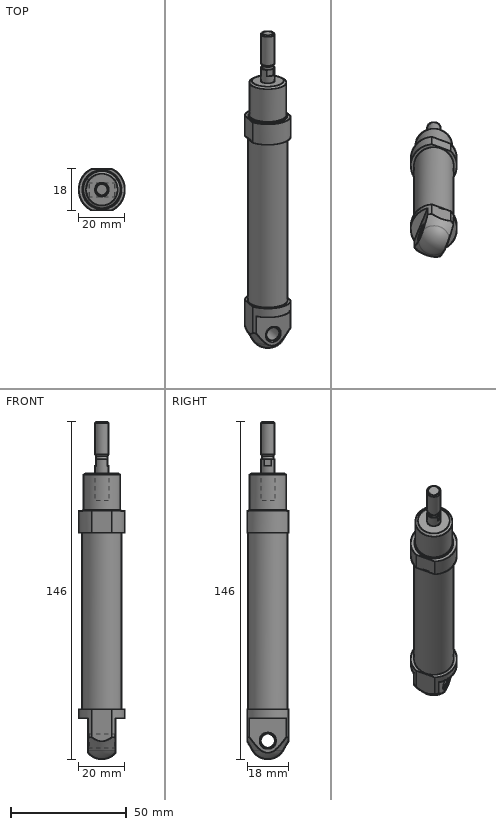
import cadquery as cq
import math

total_height = 146.0

collar_diameter = 20.0
width_across_flats = 18.0
tube_diameter = 17.2
gland_diameter = 16.0
gland_top = 123.8
gland_bevel_width = 1.2
gland_bevel_height = 0.7
collar_top = 107.5
collar_bottom = 98.0
gland_foot_flare = 0.5
base_top = 21.8
base_bottom = 17.7

eye_thickness = 12.0
eye_hole_diameter = 6.0
eye_hole_height = 8.0
eye_hole_chamfer = 0.6
tip_radius = 7.7
tip_slope_angle = 60.0

rod_diameter = 6.0
rod_end_chamfer = 0.6
rod_depth = 11.7
groove_top = 132.0
groove_root_diameter = 4.8
groove_root_height = 131.1
groove_land_diameter = 5.3
groove_land_top = 130.4
groove_bottom = 130.0
rod_flat_bottom = 127.0
rod_across_flats = 5.1


def cylinder(diameter, bottom, top):
    return cq.Workplane("XY").workplane(offset=bottom).circle(diameter / 2).extrude(top - bottom)


def slab(size_x, size_y, bottom, top):
    return cq.Workplane("XY").workplane(offset=bottom).rect(size_x, size_y).extrude(top - bottom)


def make_collar():
    collar = cylinder(collar_diameter, collar_bottom, collar_top)
    return collar.intersect(slab(collar_diameter, width_across_flats, collar_bottom, collar_top))


def make_gland():
    """Gland with a bevelled top edge and a small conical flare where it meets the collar."""
    radius = gland_diameter / 2
    profile = (
        cq.Workplane("XZ")
        .moveTo(0, collar_top)
        .lineTo(radius + gland_foot_flare, collar_top)
        .lineTo(radius, collar_top + gland_foot_flare)
        .lineTo(radius, gland_top - gland_bevel_height)
        .lineTo(radius - gland_bevel_width, gland_top)
        .lineTo(0, gland_top)
        .close()
    )
    return profile.revolve(360, (0, 0, 0), (0, 1, 0))


def make_base_blank():
    """Round blank whose lower end is a cone running tangentially into a spherical tip."""
    slope = math.radians(tip_slope_angle)
    outer_radius = collar_diameter / 2
    tangent_r = tip_radius * math.sin(slope)
    tangent_z = tip_radius * (1 - math.cos(slope))
    arc_middle_r = tip_radius * math.sin(slope / 2)
    arc_middle_z = tip_radius * (1 - math.cos(slope / 2))
    cone_top = tangent_z + (outer_radius - tangent_r) * math.tan(slope)
    profile = (
        cq.Workplane("XZ")
        .moveTo(0, 0)
        .threePointArc((arc_middle_r, arc_middle_z), (tangent_r, tangent_z))
        .lineTo(outer_radius, cone_top)
        .lineTo(outer_radius, base_top)
        .lineTo(0, base_top)
        .close()
    )
    return profile.revolve(360, (0, 0, 0), (0, 1, 0))


def make_eye_hole():
    half = eye_thickness / 2
    radius = eye_hole_diameter / 2
    profile = (
        cq.Workplane("XY")
        .moveTo(-half, 0)
        .lineTo(-half, radius + eye_hole_chamfer)
        .lineTo(-half + eye_hole_chamfer, radius)
        .lineTo(half - eye_hole_chamfer, radius)
        .lineTo(half, radius + eye_hole_chamfer)
        .lineTo(half, 0)
        .close()
    )
    return profile.revolve(360, (0, 0, 0), (1, 0, 0)).translate((0, 0, eye_hole_height))


def make_base():
    flange_slab = slab(collar_diameter, width_across_flats, base_bottom, base_top)
    eye_slab = slab(eye_thickness, width_across_flats, 0, base_top)
    return make_base_blank().intersect(flange_slab.union(eye_slab)).cut(make_eye_hole())


def make_housing():
    tube = cylinder(tube_diameter, base_top, collar_bottom)
    rod_bore = cylinder(rod_diameter, gland_top - rod_depth, gland_top)
    return make_base().union(tube).union(make_collar()).union(make_gland()).cut(rod_bore)


def make_rod_groove():
    """Ring removed from the rod: two cones meeting at the root above a short cylindrical land."""
    rod_radius = rod_diameter / 2
    land_radius = groove_land_diameter / 2
    profile = (
        cq.Workplane("XZ")
        .moveTo(rod_radius, groove_top)
        .lineTo(groove_root_diameter / 2, groove_root_height)
        .lineTo(land_radius, groove_land_top)
        .lineTo(land_radius, groove_bottom)
        .lineTo(rod_radius, groove_bottom)
        .close()
    )
    return profile.revolve(360, (0, 0, 0), (0, 1, 0))


def make_rod():
    rod = cylinder(rod_diameter, gland_top - rod_depth, total_height).faces(">Z").chamfer(rod_end_chamfer)
    flats = cylinder(rod_diameter, rod_flat_bottom, groove_bottom).cut(
        slab(rod_across_flats, rod_diameter, rod_flat_bottom, groove_bottom)
    )
    return rod.cut(make_rod_groove()).cut(flats)


housing = make_housing()
rod = make_rod()
result = cq.Compound.makeCompound([housing.val(), rod.val()])